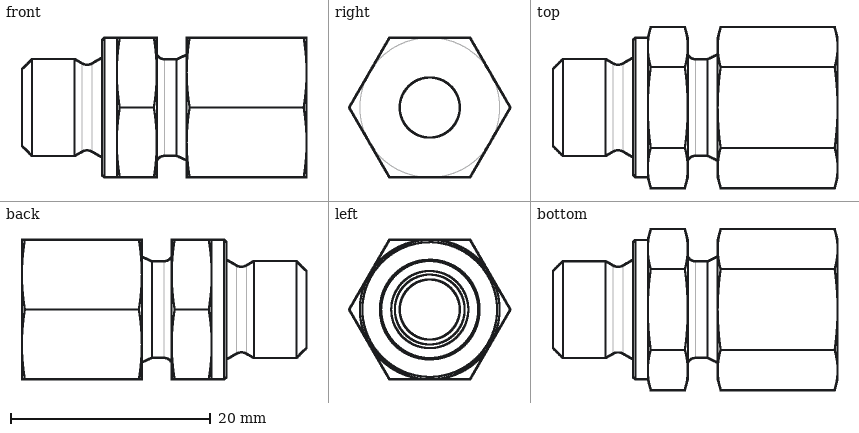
import cadquery as cq
import math


across_flats = 14.0
corner_chamfer_angle = 15.0
bore_radius = 3.0

stud_radius = 9.728 / 2
stud_tip_chamfer = 1.0
bore_chamfer = 0.5
relief_start = 5.28
relief_radius = 4.3
relief_fillet = 1.0
relief_angle = 30.0
flange_face = 8.0
flange_radius = across_flats / 2
flange_chamfer = 0.25
hex_start = 9.5
hex_end = 13.5

neck_radius = 9.7 / 2
neck_fillet = 0.85
neck_foot_height = 0.5
neck_end = 15.5
runout_angle = 26.0
thread_radius = 6.0

nut_start = 16.5
nut_end = 28.5
nut_wall = 4.0
mouth_radius = 6.3
mouth_angle = 60.0
thread_end = nut_end - nut_wall


def tan(degrees):
    return math.tan(math.radians(degrees))


def revolve_profile(profile):
    """Turn a closed profile of (X, radius) about the X axis."""
    return profile.close().revolve(360, (0, 0, 0), (1, 0, 0))


def chamfered_hexagon(start, end):
    """Hexagon along X with flats on +Z and -Z and turned corners at both ends."""
    corner_radius = across_flats / math.sqrt(3)
    flat_radius = across_flats / 2
    corner_set_back = (corner_radius - flat_radius) * tan(corner_chamfer_angle)
    prism = (
        cq.Workplane("YZ", origin=(start, 0, 0))
        .polygon(6, 2 * corner_radius)
        .extrude(end - start)
    )
    turned = revolve_profile(
        cq.Workplane("XY")
        .moveTo(start, 0)
        .lineTo(start, flat_radius)
        .lineTo(start + corner_set_back, corner_radius)
        .lineTo(end - corner_set_back, corner_radius)
        .lineTo(end, flat_radius)
        .lineTo(end, 0)
    )
    return prism.intersect(turned)


def runout_and_thread(profile):
    """Continue a profile from the end of the neck up the run-out cone and along the thread."""
    runout_end = neck_end + (thread_radius - neck_radius) / tan(runout_angle)
    return profile.lineTo(runout_end, thread_radius).lineTo(thread_end, thread_radius)


def make_body():
    """Stud body: threaded stud, relief, flange, hexagon, neck and nut thread, bored through."""
    half_width = relief_fillet * math.sin(math.radians(relief_angle))
    arc_rise = relief_fillet * (1 - math.cos(math.radians(relief_angle)))
    arc_radius = relief_radius + arc_rise
    arc_start = relief_start + (stud_radius - arc_radius) / tan(relief_angle)
    arc_middle = arc_start + half_width
    arc_end = arc_middle + half_width
    relief_end_radius = arc_radius + (flange_face - arc_end) * tan(relief_angle)

    fillet_center_radius = neck_radius + neck_fillet
    foot_radius = neck_radius + neck_foot_height
    fillet_length = math.sqrt(neck_fillet**2 - (fillet_center_radius - foot_radius) ** 2)
    fillet_end = hex_end + fillet_length
    middle_angle = math.asin(fillet_length / neck_fillet) / 2
    fillet_middle = (
        fillet_end - neck_fillet * math.sin(middle_angle),
        fillet_center_radius - neck_fillet * math.cos(middle_angle),
    )

    front_profile = (
        cq.Workplane("XY")
        .moveTo(0, 0)
        .lineTo(0, stud_radius - stud_tip_chamfer)
        .lineTo(stud_tip_chamfer, stud_radius)
        .lineTo(relief_start, stud_radius)
        .lineTo(arc_start, arc_radius)
        .threePointArc((arc_middle, relief_radius), (arc_end, arc_radius))
        .lineTo(flange_face, relief_end_radius)
        .lineTo(flange_face, flange_radius - flange_chamfer)
        .lineTo(flange_face + flange_chamfer, flange_radius)
        .lineTo(hex_start, flange_radius)
        .lineTo(hex_end, flange_radius)
        .lineTo(hex_end, foot_radius)
        .threePointArc(fillet_middle, (fillet_end, neck_radius))
        .lineTo(neck_end, neck_radius)
    )
    turned = revolve_profile(runout_and_thread(front_profile).lineTo(thread_end, 0))
    bore = revolve_profile(
        cq.Workplane("XY")
        .moveTo(0, 0)
        .lineTo(0, bore_radius + bore_chamfer)
        .lineTo(bore_chamfer, bore_radius)
        .lineTo(thread_end, bore_radius)
        .lineTo(thread_end, 0)
    )
    return turned.union(chamfered_hexagon(hex_start, hex_end)).cut(bore)


def make_nut():
    """Union nut: countersunk mouth, socket fitting the body thread, and a tube hole."""
    mouth_depth = (mouth_radius - neck_radius) / tan(mouth_angle)
    mouth = revolve_profile(
        cq.Workplane("XY")
        .moveTo(nut_start, 0)
        .lineTo(nut_start, mouth_radius)
        .lineTo(nut_start + mouth_depth, neck_radius)
        .lineTo(nut_start + mouth_depth, 0)
    )
    tube_hole = cq.Workplane("YZ", origin=(thread_end, 0, 0)).circle(bore_radius).extrude(nut_wall)
    socket = revolve_profile(
        runout_and_thread(cq.Workplane("XY").moveTo(neck_end, 0).lineTo(neck_end, neck_radius))
        .lineTo(thread_end, 0)
    )
    return chamfered_hexagon(nut_start, nut_end).cut(mouth).cut(socket).cut(tube_hole)


body = make_body()
nut = make_nut()
result = cq.Compound.makeCompound([body.val(), nut.val()])